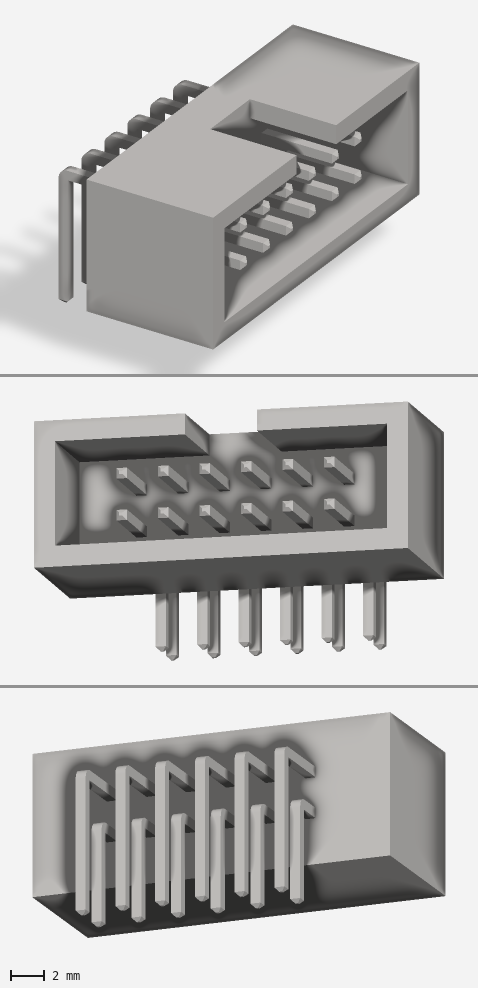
import cadquery as cq

housing_depth = 8.9
housing_length = 22.85
housing_height = 8.9
wall = 1.28
cavity_depth = 6.05

notch_width = 4.41

pin_columns = 6
pin_pitch = 2.54
pin_width = 0.65
tip_chamfer = 0.23
pin_recess = 0.9
tail_reach = 4.98
tail_drop = 3.02

cavity_floor_x = housing_depth - cavity_depth
mid_height = housing_height / 2
pin_tip_x = housing_depth - pin_recess


def make_housing():
    """Box with a cavity in its +X face and a notch through the top wall."""
    cavity_length = housing_length - 2 * wall
    cavity_height = housing_height - 2 * wall
    notch_height = housing_height - mid_height
    from_corner = (False, True, False)

    box = cq.Workplane("XY").box(housing_depth, housing_length, housing_height, centered=from_corner)
    cavity = (
        cq.Workplane("XY", origin=(cavity_floor_x, 0, wall))
        .box(cavity_depth, cavity_length, cavity_height, centered=from_corner)
    )
    notch = (
        cq.Workplane("XY", origin=(cavity_floor_x, 0, mid_height))
        .box(cavity_depth, notch_width, notch_height, centered=from_corner)
    )
    return box.cut(cavity).cut(notch)


def make_pin(tail_x, axis_z):
    """L-shaped pin at Y = 0 with its tail's outside at tail_x and its contact centred on axis_z."""
    inner_x = tail_x + pin_width
    top_z = axis_z + pin_width / 2
    bottom_z = axis_z - pin_width / 2

    pin = (
        cq.Workplane("XZ")
        .moveTo(tail_x, -tail_drop)
        .lineTo(tail_x, bottom_z)
        .radiusArc((inner_x, top_z), pin_width)
        .lineTo(pin_tip_x, top_z)
        .lineTo(pin_tip_x, bottom_z)
        .lineTo(inner_x, bottom_z)
        .lineTo(inner_x, -tail_drop)
        .close()
        .extrude(pin_width / 2, both=True)
    )
    return pin.faces(">X").chamfer(tip_chamfer).faces("<Z").chamfer(tip_chamfer)


upper_pin = make_pin(-tail_reach, mid_height + pin_pitch / 2)
lower_pin = make_pin(-tail_reach + pin_pitch, mid_height - pin_pitch / 2)

result = make_housing()
for column in range(pin_columns):
    pin_y = (column - (pin_columns - 1) / 2) * pin_pitch
    for pin in (upper_pin, lower_pin):
        result = result.union(pin.translate((0, pin_y, 0)))